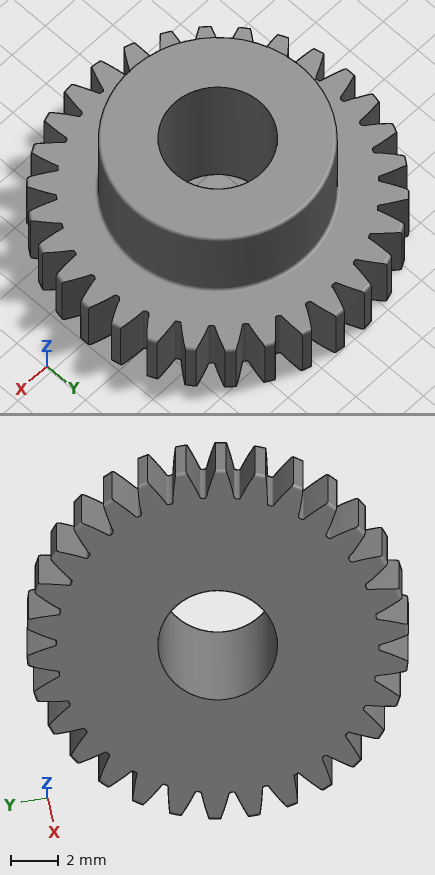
import cadquery as cq
import math

tooth_count = 30
outside_diameter = 16.0
module = outside_diameter / (tooth_count + 2)
tip_radius = outside_diameter / 2
pitch_radius = module * tooth_count / 2
root_radius = 6.75
gear_width = 6 * module

tip_thickness = 0.45
pitch_thickness = module * math.pi / 2
root_thickness = 1.18
root_corner_radius = 0.1

hub_diameter = 20 * module
bore_diameter = 10 * module
overall_height = 14 * module

edge_radius = 0.15

cutter_overrun = 0.32

tooth_pitch_angle = 2 * math.pi / tooth_count


def flank_point(radius, tooth_thickness):
    """Point on the upper side of the tooth space centred on +X, where the tooth has this thickness."""
    half_tooth_angle = math.asin(tooth_thickness / 2 / radius)
    angle = tooth_pitch_angle / 2 - half_tooth_angle
    return (radius * math.cos(angle), radius * math.sin(angle))


def mirrored(point):
    """The same point on the lower side of the tooth space."""
    return (point[0], -point[1])


def tooth_space():
    """Cutter for one gap between teeth, centred on +X, with rounded root corners."""
    root = flank_point(root_radius, root_thickness)
    pitch = flank_point(pitch_radius, pitch_thickness)
    tip = flank_point(tip_radius, tip_thickness)
    outer = (tip_radius + cutter_overrun, tip[1])
    cutter = (
        cq.Workplane("XY")
        .moveTo(*mirrored(root))
        .threePointArc((root_radius, 0), root)
        .threePointArc(pitch, tip)
        .lineTo(*outer)
        .lineTo(*mirrored(outer))
        .lineTo(*mirrored(tip))
        .threePointArc(mirrored(pitch), mirrored(root))
        .close()
        .extrude(gear_width)
    )
    return cutter.edges("|Z and <X").fillet(root_corner_radius)


def turned_blank():
    """Bored gear disc and hub as one revolved profile, drawn as radius (X) against height (Z)."""
    bore_radius = bore_diameter / 2
    hub_radius = hub_diameter / 2
    return (
        cq.Workplane("XZ")
        .moveTo(bore_radius, 0)
        .lineTo(tip_radius - edge_radius, 0)
        .radiusArc((tip_radius, edge_radius), -edge_radius)
        .lineTo(tip_radius, gear_width - edge_radius)
        .radiusArc((tip_radius - edge_radius, gear_width), -edge_radius)
        .lineTo(hub_radius + edge_radius, gear_width)
        .radiusArc((hub_radius, gear_width + edge_radius), edge_radius)
        .lineTo(hub_radius, overall_height - edge_radius)
        .radiusArc((hub_radius - edge_radius, overall_height), -edge_radius)
        .lineTo(bore_radius, overall_height)
        .close()
        .revolve(360, (0, 0, 0), (0, 1, 0))
    )


half_pitch_degrees = math.degrees(tooth_pitch_angle) / 2
all_spaces = cq.Workplane("XY").polarArray(0, half_pitch_degrees, 360, tooth_count)
all_spaces = all_spaces.eachpoint(tooth_space().val(), combine=False)
result = turned_blank().cut(cq.Workplane(cq.Compound.makeCompound(all_spaces.vals())))